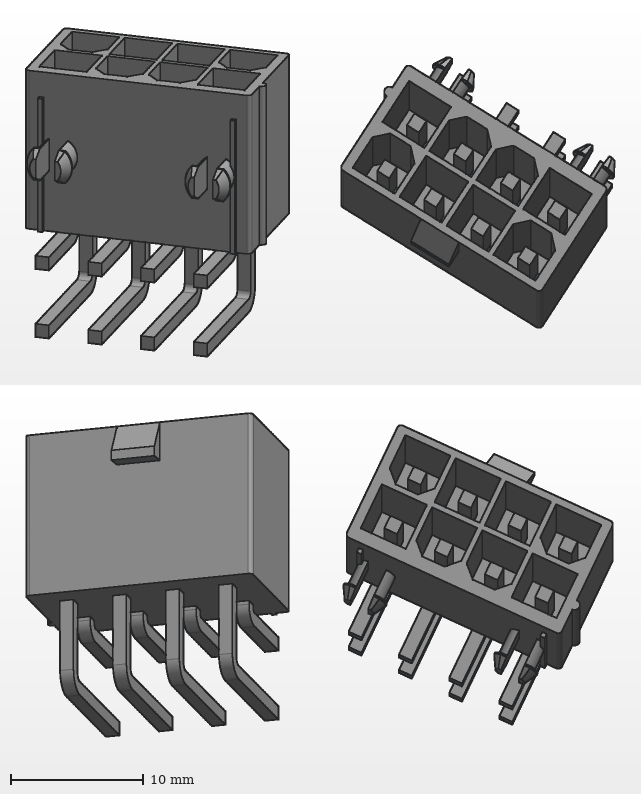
import cadquery as cq


columns = 4
pitch = 4.2
body_width = 18.0
body_depth = 9.6
body_height = 12.81
corner_radius = 0.32

column_xs = [(i - (columns - 1) / 2) * pitch for i in range(columns)]
front_row_y = 2.93
back_row_y = front_row_y + pitch

socket_size = 3.77
socket_depth = 9.96
socket_chamfer = 0.95
keyed_columns = {front_row_y: (1, 2), back_row_y: (0, 3)}

lead_size = 1.08
lead_end_y = -3.99
lead_top_drop = 2.99
lead_top_z = body_height - lead_top_drop
front_bend_inner_radius = 0.28
back_bend_inner_radius = 0.5
front_lead_bottom_z = -1.61
back_lead_bottom_z = -7.12

latch_width = 3.4
latch_reach = 1.42
latch_lip_top_drop = 2.37
latch_lip_bottom_drop = 3.15
latch_root_drop = 3.07

key_radius = 0.4
key_y = 2.55

rail_width = 0.38
rail_height = 0.35
rail_top_drop = 2.03
rail_length = body_height - rail_top_drop
rail_inset = 1.14

peg_drop = 6.62
peg_z = body_height - peg_drop
peg_shank_radius = 1.5
peg_barb_radius = 1.8
peg_tip_radius = 1.24
peg_barb_start = 2.13
peg_taper_start = 2.27
peg_length = 3.25
peg_half_height = 1.3
peg_tip_half_height = 0.75
peg_slit = 1.5


def make_housing():
    return (
        cq.Workplane("XY")
        .box(body_width, body_depth, body_height, centered=(True, False, False))
        .edges("|Z")
        .fillet(corner_radius)
    )


def make_socket(x, y, keyed):
    """Square cavity; a keyed one has its two front corners cut off."""
    socket = (
        cq.Workplane("XY", origin=(x, y, body_height - socket_depth))
        .rect(socket_size, socket_size)
        .extrude(socket_depth)
    )
    if keyed:
        socket = socket.faces("<Y").edges("|Z").chamfer(socket_chamfer)
    return socket


def make_lead(x, row_y, bottom_z, bend_inner_radius):
    """Square wire running down from the socket, then bent toward -Y."""
    half = lead_size / 2
    lead = (
        cq.Workplane("YZ", origin=(x - half, 0, 0))
        .moveTo(row_y - half, lead_top_z)
        .lineTo(row_y + half, lead_top_z)
        .lineTo(row_y + half, bottom_z)
        .lineTo(lead_end_y, bottom_z)
        .lineTo(lead_end_y, bottom_z + lead_size)
        .lineTo(row_y - half, bottom_z + lead_size)
        .close()
        .extrude(lead_size)
    )
    outer_corner = cq.selectors.NearestToPointSelector((x, row_y + half, bottom_z))
    inner_corner = cq.selectors.NearestToPointSelector((x, row_y - half, bottom_z + lead_size))
    lead = lead.edges("|X").edges(outer_corner).fillet(bend_inner_radius + lead_size)
    return lead.edges("|X").edges(inner_corner).fillet(bend_inner_radius)


def make_latch():
    lip_y = body_depth + latch_reach
    return (
        cq.Workplane("YZ")
        .moveTo(body_depth, body_height)
        .lineTo(lip_y, body_height - latch_lip_top_drop)
        .lineTo(lip_y, body_height - latch_lip_bottom_drop)
        .lineTo(body_depth, body_height - latch_root_drop)
        .close()
        .extrude(latch_width / 2, both=True)
    )


def make_key():
    return cq.Workplane("XY", origin=(body_width / 2, key_y, 0)).circle(key_radius).extrude(body_height)


def make_rail(side):
    x = side * (body_width / 2 - rail_inset - rail_width / 2)
    return (
        cq.Workplane("XY", origin=(x, -rail_height / 2, 0))
        .rect(rail_width, rail_height)
        .extrude(rail_length)
    )


def make_peg(x):
    """Turned barbed peg, flattened above and below and split by a vertical slit."""
    turned = (
        cq.Workplane("XY")
        .lineTo(peg_shank_radius, 0)
        .lineTo(peg_shank_radius, -peg_barb_start)
        .lineTo(peg_barb_radius, -peg_barb_start)
        .lineTo(peg_barb_radius, -peg_taper_start)
        .lineTo(peg_tip_radius, -peg_length)
        .lineTo(0, -peg_length)
        .close()
        .revolve(360, (0, 0, 0), (0, 1, 0))
    )
    side_profile = (
        cq.Workplane("YZ")
        .moveTo(0, -peg_half_height)
        .lineTo(0, peg_half_height)
        .lineTo(-peg_taper_start, peg_half_height)
        .lineTo(-peg_length, peg_tip_half_height)
        .lineTo(-peg_length, -peg_tip_half_height)
        .lineTo(-peg_taper_start, -peg_half_height)
        .close()
        .extrude(peg_barb_radius, both=True)
    )
    slit = cq.Workplane("XY").box(peg_slit, 2 * peg_length, 2 * peg_barb_radius)
    return turned.intersect(side_profile).cut(slit).translate((x, 0, peg_z))


result = make_housing().union(make_key()).union(make_latch())

for row_y, keyed in keyed_columns.items():
    for column, x in enumerate(column_xs):
        result = result.cut(make_socket(x, row_y, column in keyed))

for x in column_xs:
    result = result.union(make_lead(x, front_row_y, front_lead_bottom_z, front_bend_inner_radius))
    result = result.union(make_lead(x, back_row_y, back_lead_bottom_z, back_bend_inner_radius))

for side in (-1, 1):
    result = result.union(make_rail(side))

for x in (column_xs[0], column_xs[-1]):
    result = result.union(make_peg(x))